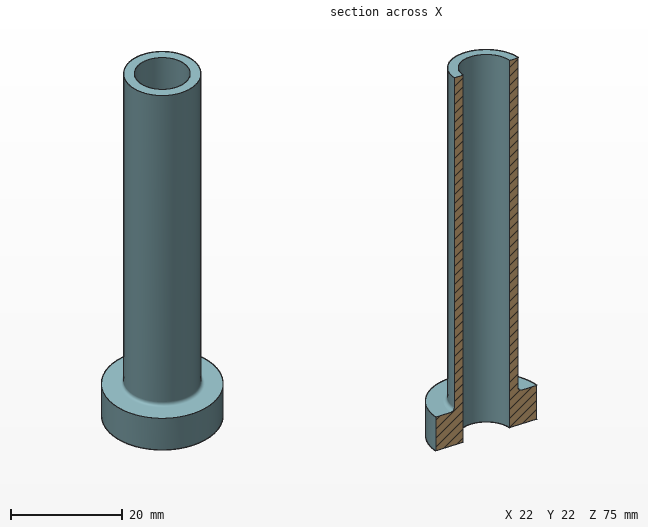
import cadquery as cq

total_length = 75.0
head_diameter = 22.0
head_height = 7.0
shank_diameter = 13.95
bore_diameter = 10.05
neck_fillet_radius = 0.75

head = cq.Workplane("XY").circle(head_diameter / 2).extrude(head_height)

shank = cq.Workplane("XY").circle(shank_diameter / 2).extrude(total_length)

body = head.union(shank)
head_top_edges = body.faces(cq.selectors.NearestToPointSelector((0, 0, head_height))).edges()
neck_edge = head_top_edges.edges(cq.selectors.RadiusNthSelector(0))
body = neck_edge.fillet(neck_fillet_radius)

bore = cq.Workplane("XY").circle(bore_diameter / 2).extrude(total_length)
result = body.cut(bore)